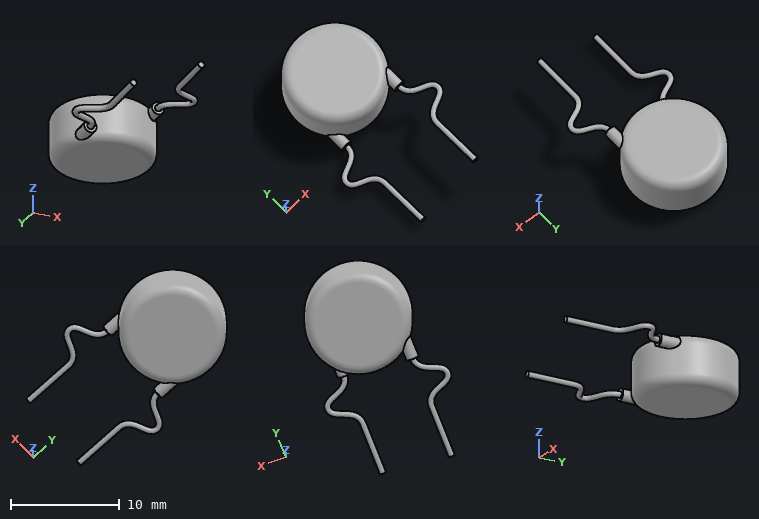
import cadquery as cq

disc_diameter = 10.0
disc_height = 5.0
disc_fillet = 1.0

wire_diameter = 0.65
lead_x = 3.4
lead_z = 1.58
kink_width = 2.5
kink_half_length = 2.5
tail_length = 5.0
base_pull = 1.75
tip_pull = 1.15

sleeve_diameter = 1.25

disc_radius = disc_diameter / 2
wire_radius = wire_diameter / 2
sleeve_radius = sleeve_diameter / 2
sleeve_end_y = -disc_radius
tip_y = sleeve_end_y - kink_half_length
tail_start_y = tip_y - kink_half_length
tail_end_y = tail_start_y - tail_length


def make_sleeve(side):
    """Round sleeve on the lead axis of one side, starting inside the disc."""
    return (
        cq.Workplane("XZ", origin=(side * lead_x, 0, side * lead_z))
        .circle(sleeve_radius)
        .extrude(-sleeve_end_y)
    )


def make_coating():
    """Rounded disc joined with the two sleeves."""
    disc = (
        cq.Workplane("XY", origin=(0, 0, -disc_height / 2))
        .circle(disc_radius)
        .extrude(disc_height)
        .edges()
        .fillet(disc_fillet)
    )
    for side in (-1, 1):
        disc = disc.union(make_sleeve(side))
    return disc


def make_lead(side):
    """Kinked round wire that starts at the sleeve end; side is -1 or 1 along both X and Z."""
    base_x = side * lead_x
    tip_x = side * (lead_x + kink_width)
    path = (
        cq.Workplane("XY", origin=(0, 0, side * lead_z))
        .moveTo(base_x, sleeve_end_y)
        .bezier([
            (base_x, sleeve_end_y),
            (base_x, sleeve_end_y - base_pull),
            (tip_x, tip_y + tip_pull),
            (tip_x, tip_y),
        ])
        .bezier([
            (tip_x, tip_y),
            (tip_x, tip_y - tip_pull),
            (base_x, tail_start_y + base_pull),
            (base_x, tail_start_y),
        ])
        .lineTo(base_x, tail_end_y)
    )
    return (
        cq.Workplane("XZ", origin=(base_x, sleeve_end_y, side * lead_z))
        .circle(wire_radius)
        .sweep(path)
    )


coating = make_coating()
leads = [make_lead(side) for side in (-1, 1)]

result = cq.Compound.makeCompound([coating.val(), *[lead.val() for lead in leads]])